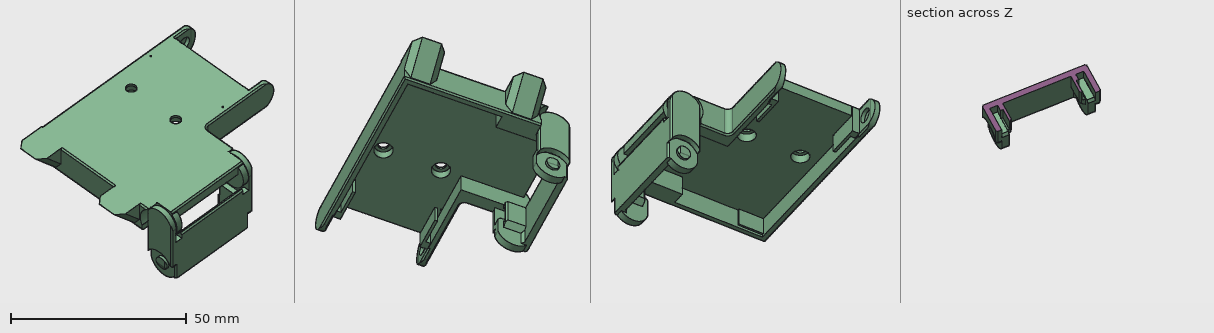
import cadquery as cq

length = 71.0
height = 10.0
wall = 1.9
edge_break = 0.5
plate = 3.55
overlap = 0.35

main_width = 33.1
rear_edge_y = 62.4
front_y = 8.2
body_end_x = 50.7
inner_corner_radius = 1.6

hinge_mid_y = 26.55
hinge_x = 47.65
hinge_z = -height / 2
knuckle_radius = 5.1
ear_radius = 5.0
ear_clearance_radius = 5.7
knuckle_inner = 12.35
knuckle_outer = 14.4
ear_inner = 14.7
ear_outer = 16.5
pin_diameter = 4.2
pin_length = 0.9
side_rear_y = hinge_mid_y + ear_outer

finger_starts = (0.0, 31.5)
finger_width = 10.1
finger_corner_x = 2.05
finger_corner_y = 2.55
finger_root_y = 10.65
finger_depth = 9.15

screw_xs = (7.25, 25.15)
screw_y = 39.4
screw_diameter = 3.3
screw_head_diameter = 5.5
screw_lip = 0.8

arm_gusset_width = 2.3
arm_gusset_start_y = 52.35
arm_gusset_end_y = 62.85
arm_slot_width = 1.4
vent_size = 0.35
arm_hole_diameter = 4.55
arm_hole_depth = 1.2
arm_lead_length = 2.1
arm_lead = 0.3

flap_bottom_z = -25.15
flap_pivot_z = -21.8
flap_pivot_clearance = 5.25
flap_plate = 2.0
flap_plate_top_z = -8.5
flap_inner_top_z = -10.4
flap_arm_bottom_z = -19.6
flap_bevel = 0.85
gusset_thickness = 1.7
gusset_setback = 1.8
gusset_bottom_z = -18.8
flap_slot_bottom_z = -16.75
flap_slot_lip = 0.8
gusset_slot_top_z = -11.85
gusset_slot_bottom_z = -17.75
gusset_slot_width = 0.8
gusset_slot_depth = 4.25
pin_lead = 0.3
pin_lead_start_x = 1.35
pin_lead_start_z = 0.7

flap_left_x = hinge_x - ear_radius
flap_right_x = hinge_x + ear_radius


def box(x0, x1, y0, y1, z0, z1):
    """Box between two opposite corners."""
    return cq.Workplane("XY").box(x1 - x0, y1 - y0, z1 - z0, centered=False).translate((x0, y0, z0))


def side_box(x0, x1, near, far, z0, z1, side):
    """Box between two distances from the hinge middle, on the +Y (1) or -Y (-1) side."""
    ends = sorted((hinge_mid_y + side * near, hinge_mid_y + side * far))
    return box(x0, x1, ends[0], ends[1], z0, z1)


def side_cylinder(radius, near, far, z, side):
    """Cylinder along Y at hinge_x, between two distances from the hinge middle."""
    start = hinge_mid_y + side * near
    direction = cq.Vector(0, side, 0)
    return cq.Workplane(cq.Solid.makeCylinder(radius, far - near, cq.Vector(hinge_x, start, z), direction))


def body_shell():
    """L-shaped plate with walls below it and two rear arms, open underneath."""
    arm_inner_right = main_width - wall
    outline = [
        (0, front_y), (body_end_x, front_y), (body_end_x, side_rear_y), (main_width, side_rear_y),
        (main_width, length), (arm_inner_right, length), (arm_inner_right, rear_edge_y),
        (wall, rear_edge_y), (wall, length), (0, length),
    ]
    shell = cq.Workplane("XY").polyline(outline).close().extrude(-height)
    inside_corner = cq.selectors.NearestToPointSelector((main_width, side_rear_y, -height / 2))
    shell = shell.edges(inside_corner).fillet(inner_corner_radius)
    shell = shell.faces("<Z or >Z").chamfer(edge_break)
    floor_z = -height - overlap
    shell = shell.cut(box(wall, arm_inner_right, front_y + wall, length, floor_z, -plate))
    half_wall = wall / 2
    shell = shell.union(box(half_wall, main_width - half_wall, rear_edge_y - wall, rear_edge_y, -plate, 0))
    return shell.cut(
        side_box(
            arm_inner_right - overlap, body_end_x + overlap, -knuckle_inner, knuckle_inner,
            floor_z, -plate, 1,
        )
    )


def round_arm_ends(body):
    """Round the arm ends to half circles about an X axis."""
    radius = height / 2
    corner = box(
        -overlap, main_width + overlap, length - radius, length + overlap, -height - overlap, overlap
    )
    rounding = cq.Workplane("YZ").center(length - radius, -radius).circle(radius).extrude(main_width)
    return body.cut(corner.cut(rounding))


def finger(start_x):
    """Hook with cut corners, leaning back under the front edge."""
    end_x = start_x + finger_width
    outline = [
        (start_x, finger_root_y), (start_x, finger_corner_y), (start_x + finger_corner_x, 0),
        (end_x - finger_corner_x, 0), (end_x, finger_corner_y), (end_x, finger_root_y),
    ]
    leaning = (
        cq.Workplane("XY").polyline(outline).close()
        .workplane(offset=-finger_depth).center(0, front_y).polyline(outline).close()
        .loft(ruled=True)
    )
    root = box(start_x, end_x, front_y, finger_root_y, -finger_depth, 0)
    return leaning.intersect(box(start_x, end_x, 0, finger_root_y, -height, 0)).union(root)


def arm_gusset(outer_x, inward):
    """Slotted rib that thickens a rear arm at its root; inward is the X direction to the middle."""
    xs = sorted((outer_x, outer_x + inward * arm_gusset_width))
    return box(xs[0], xs[1], arm_gusset_start_y, arm_gusset_end_y, edge_break - height, -edge_break)


def arm_slot(outer_x, inward):
    """Slot rising from below through the rib, with a small vent through the top."""
    xs = sorted((outer_x, outer_x + inward * arm_slot_width))
    vent_xs = sorted((outer_x, outer_x + inward * vent_size))
    slot = box(xs[0], xs[1], arm_gusset_start_y, rear_edge_y - wall, -height, -plate)
    vent = box(vent_xs[0], vent_xs[1], arm_gusset_start_y, arm_gusset_start_y + vent_size, -plate, overlap)
    return slot.union(vent)


def screw_hole(x):
    """Through hole with a deep counterbore from below."""
    hole = cq.Workplane("XY").center(x, screw_y).circle(screw_diameter / 2).extrude(-height)
    head = cq.Workplane("XY", origin=(0, 0, -screw_lip)).center(x, screw_y)
    return hole.union(head.circle(screw_head_diameter / 2).extrude(-height))


def arm_hole(inner_x, outward):
    """Blind hinge-pin hole in the inner face of a rear arm."""
    centre = cq.Vector(inner_x, length - height / 2, -height / 2)
    direction = cq.Vector(outward, 0, 0)
    return cq.Workplane(cq.Solid.makeCylinder(arm_hole_diameter / 2, arm_hole_depth, centre, direction))


def arm_lead_in(inner_x, outward):
    """Wedge that thins the inner face of a rear arm toward its tip."""
    outline = [
        (inner_x, length - arm_lead_length), (inner_x, length), (inner_x + outward * arm_lead, length),
    ]
    return cq.Workplane("XY").polyline(outline).close().extrude(-height)


def add_hinge_to_body(body):
    """Clear the ears out of the body's corners, then add knuckles and pins."""
    far = hinge_mid_y + length
    straight_top_z = hinge_z - ear_clearance_radius / 2
    for side in (1, -1):
        body = body.cut(side_cylinder(ear_clearance_radius, knuckle_outer, far, hinge_z, side))
        body = body.cut(side_box(hinge_x, length, knuckle_outer, far, -length, overlap, side))
        body = body.cut(side_box(flap_left_x, length, knuckle_outer, far, -length, straight_top_z, side))
        body = body.cut(side_box(hinge_x, length, knuckle_inner, far, -length, -plate, side))
        knuckle = side_cylinder(knuckle_radius, knuckle_inner, knuckle_outer, hinge_z, side)
        body = body.union(knuckle.intersect(box(0, length, 0, length, -length, 0)))
        pin = side_cylinder(pin_diameter / 2, knuckle_outer, ear_inner + pin_length, hinge_z, side)
        body = body.union(pin)
    return body


def flap_pin(side):
    """Outward pin with sloped lead-in faces toward +X and -Z."""
    tip = ear_inner + pin_length
    pin = side_cylinder(pin_diameter / 2, ear_inner, tip, flap_pivot_z, side)
    tip_y = hinge_mid_y + side * tip
    back_y = tip_y - side * pin_lead
    reach = pin_diameter / 2
    x0 = hinge_x - reach
    x1 = hinge_x + reach
    z0 = flap_pivot_z - reach
    below = (
        cq.Workplane("YZ", origin=(x0, 0, 0))
        .polyline([(tip_y, flap_pivot_z - pin_lead_start_z), (tip_y, z0), (back_y, z0)]).close()
        .extrude(pin_diameter)
    )
    beside = (
        cq.Workplane("XY", origin=(0, 0, z0))
        .polyline([(hinge_x + pin_lead_start_x, tip_y), (x1, tip_y), (x1, back_y)]).close()
        .extrude(pin_diameter)
    )
    return pin.cut(below).cut(beside)


def flap_outer_arm(side):
    """Arm around the hinge, round at the top and hollowed below to clear the pivot."""
    arm = side_box(flap_left_x, flap_right_x, ear_inner, ear_outer, flap_arm_bottom_z, 0, side)
    arm = arm.faces(">Y" if side > 0 else "<Y").edges("|Z").chamfer(edge_break)
    straight = side_box(flap_left_x, flap_right_x, ear_inner, ear_outer, flap_arm_bottom_z, hinge_z, side)
    rounded = straight.union(side_cylinder(ear_radius, ear_inner, ear_outer, hinge_z, side))
    arm = arm.intersect(rounded)
    return arm.cut(side_cylinder(flap_pivot_clearance, ear_inner, ear_outer, flap_pivot_z, side))


def flap_pivot_arm(side):
    """Arm set inward from the outer arm, ending in the round lower pivot."""
    arm = side_box(flap_left_x, flap_right_x, knuckle_inner, ear_inner, flap_pivot_z, flap_inner_top_z, side)
    pivot = side_cylinder(knuckle_radius, knuckle_inner, ear_inner, flap_pivot_z, side)
    arm = arm.union(pivot.intersect(box(flap_left_x, flap_right_x, 0, length, -length, 0)))
    inner_x = flap_right_x - flap_plate
    arm = arm.union(
        side_box(inner_x, flap_right_x, knuckle_inner, ear_inner, flap_bottom_z, flap_inner_top_z, side)
    )
    corner_y = hinge_mid_y + side * ear_inner
    corner = [
        (flap_right_x, corner_y), (flap_right_x - edge_break, corner_y),
        (flap_right_x, corner_y - side * edge_break),
    ]
    base = cq.Workplane("XY", origin=(0, 0, flap_arm_bottom_z)).polyline(corner).close()
    return arm.cut(base.extrude(flap_bottom_z - flap_arm_bottom_z))


def flap_gusset(side):
    """Rib inside the ear, ending in a slope at its lower end."""
    near = hinge_mid_y + side * (knuckle_inner - gusset_thickness)
    far = hinge_mid_y + side * knuckle_inner
    profile = [
        (near, flap_inner_top_z), (far, flap_inner_top_z),
        (far, gusset_bottom_z - gusset_thickness), (near, gusset_bottom_z),
    ]
    start_x = flap_left_x + gusset_setback
    base = cq.Workplane("YZ", origin=(start_x, 0, 0)).polyline(profile).close()
    rib = base.extrude(flap_right_x - flap_plate / 2 - start_x)
    middle_z = (flap_inner_top_z + gusset_bottom_z) / 2
    inner_edge = cq.selectors.NearestToPointSelector((start_x, near, middle_z))
    return rib.edges(inner_edge).chamfer(edge_break)


def flap_plate_solid():
    """Outer plate between the ears, sloped at its top, bevelled into the ears."""
    inner_x = flap_right_x - flap_plate
    profile = [
        (inner_x, flap_bottom_z), (flap_right_x, flap_bottom_z),
        (flap_right_x, flap_plate_top_z - edge_break), (flap_right_x - edge_break, flap_plate_top_z),
        (inner_x, -height),
    ]
    middle = cq.Workplane("XZ", origin=(0, hinge_mid_y + knuckle_inner, 0)).polyline(profile).close()
    solid = middle.extrude(2 * knuckle_inner)
    for side in (1, -1):
        corner_y = hinge_mid_y + side * knuckle_inner
        bevel = [
            (inner_x, corner_y), (inner_x - flap_bevel, corner_y), (inner_x, corner_y - side * flap_bevel),
        ]
        base = cq.Workplane("XY", origin=(0, 0, flap_bottom_z)).polyline(bevel).close()
        solid = solid.union(base.extrude(flap_inner_top_z - flap_bottom_z))
    return solid


def flap_slot(side):
    """Slot open toward -X with a sloped lip, plus a shallower slot beside it in the rib."""
    profile = [
        (flap_left_x, flap_inner_top_z), (flap_right_x - flap_plate, flap_inner_top_z),
        (flap_right_x - flap_plate, flap_slot_bottom_z), (flap_left_x + flap_slot_lip, flap_slot_bottom_z),
        (flap_left_x, flap_slot_bottom_z - flap_slot_lip),
    ]
    start_y = hinge_mid_y + (ear_inner if side > 0 else -knuckle_inner)
    base = cq.Workplane("XZ", origin=(0, start_y, 0)).polyline(profile).close()
    slot = base.extrude(ear_inner - knuckle_inner)
    return slot.union(
        side_box(
            flap_left_x, flap_left_x + gusset_setback + gusset_slot_depth,
            knuckle_inner - gusset_slot_width, knuckle_inner,
            gusset_slot_bottom_z, gusset_slot_top_z, side,
        )
    )


def make_flap():
    """Channel-shaped flap: plate, two stepped ears with pins, slotted ribs."""
    flap = flap_plate_solid()
    for side in (1, -1):
        flap = flap.union(flap_outer_arm(side)).union(flap_pivot_arm(side)).union(flap_pin(side))
        flap = flap.union(flap_gusset(side))
        flap = flap.cut(flap_slot(side))
    return flap


body = round_arm_ends(body_shell())
for inner_x, inward in ((wall, 1), (main_width - wall, -1)):
    body = body.union(arm_gusset(inner_x, inward))
    body = body.cut(arm_slot(inner_x, inward))
    body = body.cut(arm_hole(inner_x, -inward))
    body = body.cut(arm_lead_in(inner_x, -inward))
body = add_hinge_to_body(body)
for x in screw_xs:
    body = body.cut(screw_hole(x))
for start_x in finger_starts:
    body = body.union(finger(start_x))

result = body.union(make_flap())